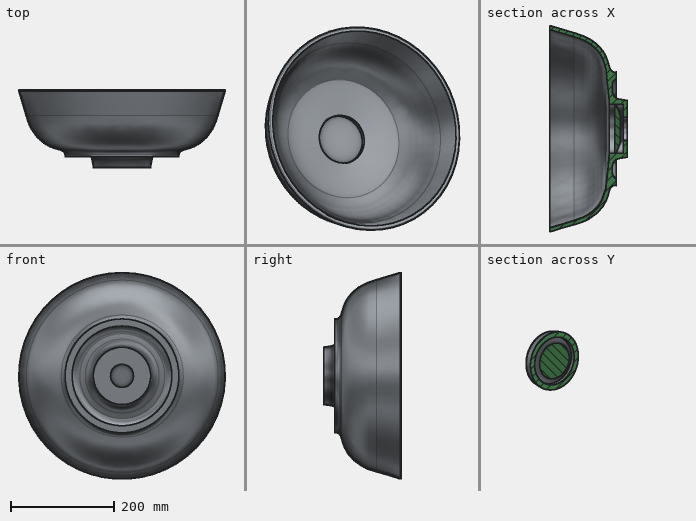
import cadquery as cq
import math


rim_radius = 200.04
total_height = 151.04
wall = 8.5

lip_round = 2.4
flare_end = (186.1, -49.2)
belly_upper = (169.9, -84.9)
belly_lower = (149.6, -104.7)
belly_end = (118.4, -117.0)
belly_end_slope = math.radians(15)

foot_radius = 110.3
foot_y = -129.3
foot_band = 4.0

groove_outer_radius = 82.3
groove_inner_radius = 71.7
groove_depth = 7.7
groove_slope = math.radians(4.5)
groove_fillet = 15.0

boss_end_y = -total_height
boss_draft = math.radians(9)

drain_radius = 22.3
well_radius = 47.0
well_floor_y = boss_end_y + wall

stopper_gap = 5.0
stopper_face_radius = 26.0
stopper_slope = math.radians(20)
stopper_edge = 4.0

section_plane = cq.Plane(origin=(0, 0, 0), xDir=(0, 0, 1), normal=(-1, 0, 0))


def moved(point, distance, angle):
    """Point at a distance from another one, at an angle measured from the radial direction."""
    return (point[0] + distance * math.cos(angle), point[1] + distance * math.sin(angle))


def heading(start, end):
    """Angle of the line from one point to another."""
    return math.atan2(end[1] - start[1], end[0] - start[0])


def inset(point, wall_angle):
    """Point on the inner skin, opposite a point where the outer skin runs down at the given angle."""
    return moved(point, wall, wall_angle - math.pi / 2)


def fillet_points(center, radius, start_angle, end_angle):
    """Middle and end points of an arc."""
    middle = moved(center, radius, (start_angle + end_angle) / 2)
    return middle, moved(center, radius, end_angle)


def revolved(profile):
    """Solid made by turning a closed half section about the Y axis."""
    return profile.close().revolve(360, (0, 0, 0), (0, 1, 0))


lip_end = (rim_radius, -lip_round)
lip_center = (rim_radius - lip_round, -lip_round)
lip_middle = moved(lip_center, lip_round, math.pi / 4)
flare_angle = heading(lip_end, flare_end)
belly_end_angle = belly_end_slope - math.pi

groove_outer = (groove_outer_radius, foot_y + groove_depth)
groove_width = groove_outer_radius - groove_inner_radius
groove_inner = (groove_inner_radius, groove_outer[1] - groove_width * math.tan(groove_slope))
floor_normal = math.pi / 2 + groove_slope

foot_fillet_center = moved(groove_outer, -groove_fillet, floor_normal)
foot_fillet_end_angle = math.asin((foot_y - foot_fillet_center[1]) / groove_fillet)
foot_fillet_middle, foot_fillet_end = fillet_points(
    foot_fillet_center, groove_fillet, floor_normal, foot_fillet_end_angle
)

boss_fillet_center = moved(groove_inner, -groove_fillet, floor_normal)
boss_fillet_middle, boss_fillet_end = fillet_points(
    boss_fillet_center, groove_fillet, floor_normal, math.pi - boss_draft
)
boss_side_height = boss_fillet_end[1] - boss_end_y
boss_end_radius = boss_fillet_end[0] - boss_side_height * math.tan(boss_draft)

inner_flare_end = inset(flare_end, flare_angle)
inner_rim_radius = inner_flare_end[0] - inner_flare_end[1] / math.tan(flare_angle)
inner_belly_upper = inset(belly_upper, heading(flare_end, belly_lower))
inner_belly_lower = inset(belly_lower, heading(belly_upper, belly_end))
inner_belly_end = inset(belly_end, belly_end_angle)

well_mouth_drop = (groove_inner_radius - well_radius) * math.tan(groove_slope)
well_mouth = (well_radius, groove_inner[1] + wall - well_mouth_drop)


def make_bowl():
    """Bowl with its ring foot, grooved underside, drain boss, drain hole and well."""
    profile = (
        cq.Workplane(section_plane)
        .moveTo(inner_rim_radius, 0)
        .lineTo(rim_radius - lip_round, 0)
        .threePointArc(lip_middle, lip_end)
        .lineTo(*flare_end)
        .spline(
            [belly_upper, belly_lower, belly_end],
            tangents=[moved((0, 0), 1, flare_angle), moved((0, 0), 1, belly_end_angle)],
            includeCurrent=True,
        )
        .tangentArcPoint((foot_radius, foot_y + foot_band), relative=False)
        .lineTo(foot_radius, foot_y)
        .lineTo(*foot_fillet_end)
        .threePointArc(foot_fillet_middle, groove_outer)
        .lineTo(*groove_inner)
        .threePointArc(boss_fillet_middle, boss_fillet_end)
        .lineTo(boss_end_radius, boss_end_y)
        .lineTo(drain_radius, boss_end_y)
        .lineTo(drain_radius, well_floor_y)
        .lineTo(well_radius, well_floor_y)
        .lineTo(*well_mouth)
        .lineTo(*inner_belly_end)
        .spline(
            [inner_belly_lower, inner_belly_upper, inner_flare_end],
            tangents=[moved((0, 0), -1, belly_end_angle), moved((0, 0), -1, flare_angle)],
            includeCurrent=True,
        )
    )
    return revolved(profile)


def make_stopper():
    """Stopper with a flat face over the drain hole, a conical flank and a cylindrical edge."""
    face_y = well_floor_y + stopper_gap
    edge_y = face_y + (well_radius - stopper_face_radius) * math.tan(stopper_slope)
    top_y = edge_y + stopper_edge
    profile = (
        cq.Workplane(section_plane)
        .moveTo(0, face_y)
        .lineTo(stopper_face_radius, face_y)
        .lineTo(well_radius, edge_y)
        .lineTo(well_radius, top_y)
        .lineTo(0, top_y)
    )
    return revolved(profile)


bowl = make_bowl()
stopper = make_stopper()
result = cq.Compound.makeCompound([bowl.val(), stopper.val()])